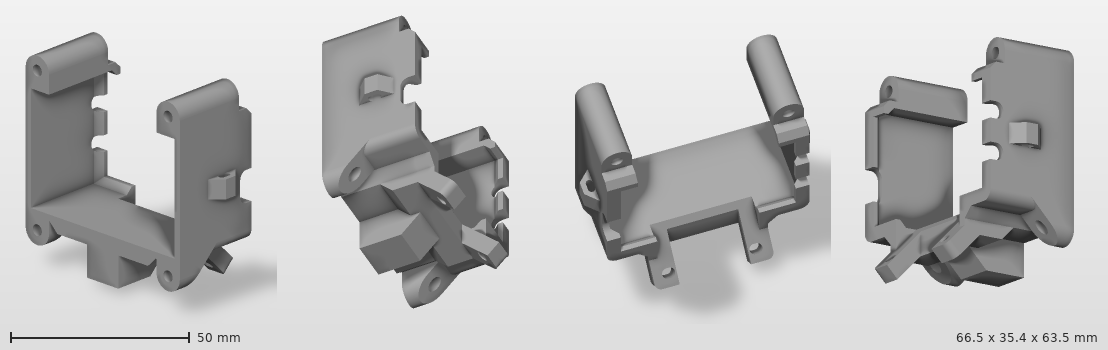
import cadquery as cq
import math


inner_width = 55.5
inner_height = 36.0
wall = 2.0
depth = 29.0
half_inner = inner_width / 2
half_outer = half_inner + wall
corner_radius = 3.0
rear_chamfer = 2.0

lug_radius = 4.5
lug_hole_diameter = 3.5
lug_center_offset = 6.0
upper_lug_depth = 24.0
lug_x = half_outer - lug_radius
lug_inner_x = half_outer - 2 * lug_radius
upper_lug_z = inner_height + lug_center_offset
lower_lug_z = -lug_center_offset
lower_lug_depth = 14.0

lip_width = 2.0
lip_thickness = 1.5
lip_gap_half_width = 15.0

pad_half_width = 17.5
pad_bottom = -5.0
step_bottom = -9.0
step_front_y = 12.0

tab_inner_x = 10.5
tab_top_sum = 22.0
tab_bottom_sum = 14.78
window_y = tab_bottom_sum - step_bottom
tab_tip_y = 35.36
tab_tip_radius = 2.0
tab_slot_length = 3.75
tab_slot_width = 3.0
tab_slot_x = 12.85
tab_slot_tip_distance = 4.0

foot_half_width = 6.0
foot_bottom = -15.0
foot_bottom_depth = 13.0

ear_reach = 3.5
ear_tip_length = 4.0
ear_height = 6.0
ear_y = 17.0
ear_z = 18.0
ear_slot_width = 2.0
ear_slot_length = 4.0
ear_slot_offset = ear_slot_width / 2

notch_bottom_y = 24.5
notch_radius = 2.5
small_notch_height = 2 * notch_radius
large_notch_height = 10.0
lower_notch_z = 12.0
upper_notch_z = 24.0
large_notch_z = 14.5


def box(x0, x1, y0, y1, z0, z1):
    """Axis-aligned box between two opposite corners."""
    return cq.Workplane("XY").box(x1 - x0, y1 - y0, z1 - z0, centered=False).translate((x0, y0, z0))


def extrude_along_x(points, x0, x1):
    """Prism of a (Y, Z) outline between two X positions."""
    return cq.Workplane("YZ").polyline(points).close().extrude(x1 - x0).translate((x0, 0, 0))


def both_sides(shape):
    """The shape joined with its mirror image about X = 0."""
    return shape.union(shape.mirror("YZ"))


def make_cavity():
    """Space enclosed by the floor, the side walls and the top returns."""
    return box(-half_inner, half_inner, 0, depth, 0, inner_height)


def make_shell():
    """U-shaped wall with short inward returns at the top and rounded lower corners."""
    top = inner_height + wall
    outer = box(-half_outer, half_outer, 0, depth, -wall, top)
    outer = outer.edges("|Y and <Z").fillet(corner_radius)
    outer = outer.edges(">Y and >Z").chamfer(rear_chamfer)
    top_gap = box(-lug_inner_x, lug_inner_x, 0, depth, inner_height, top)
    return outer.cut(make_cavity()).cut(top_gap)


def make_lip():
    """Rear lip with a 45 degree front face, open at the top and in the middle of the floor."""
    lip_front = depth - lip_thickness
    middle_z = inner_height / 2
    lip = box(-half_inner, half_inner, lip_front - lip_width, depth, 0, inner_height)
    opening = (
        cq.Workplane("XZ", origin=(0, lip_front, middle_z))
        .rect(inner_width - 2 * lip_width, inner_height - 2 * lip_width)
        .workplane(offset=lip_width)
        .rect(inner_width, inner_height)
        .loft(ruled=True)
    )
    through = box(
        lip_width - half_inner, half_inner - lip_width, lip_front, depth, lip_width, inner_height - lip_width
    )
    floor_gap = box(-lip_gap_half_width, lip_gap_half_width, 0, depth, 0, middle_z)
    top_gap = box(-lug_inner_x, lug_inner_x, 0, depth, middle_z, inner_height)
    return lip.cut(opening).cut(through).cut(floor_gap).cut(top_gap)


def make_lug(center_z, inner_z, lug_depth):
    """Round-ended lug on the +X side, reaching from its axis to inner_z."""
    barrel = cq.Workplane("XZ", origin=(lug_x, 0, center_z)).circle(lug_radius).extrude(-lug_depth)
    low_z, high_z = sorted((center_z, inner_z))
    return barrel.union(box(lug_inner_x, half_outer, 0, lug_depth, low_z, high_z))


def make_lugs():
    """All four lugs; the lower pair is cut away behind a 45 degree plane."""
    upper = make_lug(upper_lug_z, inner_height, upper_lug_depth)
    highest = corner_radius - wall
    lowest = lower_lug_z - lug_radius
    keep = extrude_along_x(
        [(0, highest), (lower_lug_depth + highest, highest), (lower_lug_depth + lowest, lowest), (0, lowest)],
        lug_inner_x, half_outer,
    )
    lower = make_lug(lower_lug_z, highest, depth).cut(make_cavity())
    return both_sides(upper.union(lower.intersect(keep)))


def make_lug_holes():
    """Screw holes along Y through all four lugs."""
    centers = [(x, z) for x in (-lug_x, lug_x) for z in (lower_lug_z, upper_lug_z)]
    return cq.Workplane("XZ").pushPoints(centers).circle(lug_hole_diameter / 2).extrude(-depth)


def make_pad():
    """Tapered thickening under the floor with a deeper rear step."""
    taper = -wall - pad_bottom
    slab = (
        cq.Workplane("XZ")
        .polyline([
            (-pad_half_width - taper, -wall),
            (pad_half_width + taper, -wall),
            (pad_half_width, pad_bottom),
            (-pad_half_width, pad_bottom),
        ])
        .close()
        .extrude(-depth)
    )
    step_height = pad_bottom - step_bottom
    step = extrude_along_x(
        [
            (step_front_y, pad_bottom),
            (step_front_y + step_height, step_bottom),
            (window_y, step_bottom),
            (depth, tab_bottom_sum - depth),
            (depth, pad_bottom),
        ],
        -pad_half_width, pad_half_width,
    )
    return slab.union(step)


def make_foot():
    """Central foot under the pad with a 45 degree rear face."""
    rear_run = pad_bottom - foot_bottom
    return extrude_along_x(
        [(0, pad_bottom), (0, foot_bottom), (foot_bottom_depth, foot_bottom),
         (foot_bottom_depth + rear_run, pad_bottom)],
        -foot_half_width, foot_half_width,
    )


def make_tab():
    """Inclined tab on the +X side with one rounded tip corner."""
    tip_z = tab_top_sum - tab_tip_y
    drop = (tab_top_sum - tab_bottom_sum) / 2
    tab = extrude_along_x(
        [
            (window_y, tab_top_sum - window_y),
            (tab_tip_y, tip_z),
            (tab_tip_y - drop, tip_z - drop),
            (window_y, tab_bottom_sum - window_y),
        ],
        tab_inner_x, pad_half_width,
    )
    tip_middle = (pad_half_width, tab_tip_y - drop / 2, tip_z - drop / 2)
    return tab.edges(cq.selectors.NearestToPointSelector(tip_middle)).fillet(tab_tip_radius)


def make_rear_opening():
    """Volume removed above the inclined face and between the tabs."""
    above_incline = extrude_along_x(
        [(tab_top_sum, 0), (depth, 0), (depth, tab_top_sum - depth)],
        -lip_gap_half_width, lip_gap_half_width,
    )
    window = box(-tab_inner_x, tab_inner_x, window_y, depth, foot_bottom, 0)
    return above_incline.union(window)


def make_tab_slot():
    """Slot through the +X tab, square to its inclined faces."""
    slot_y = tab_tip_y - tab_slot_tip_distance / math.sqrt(2)
    thickness = (tab_top_sum - tab_bottom_sum) / math.sqrt(2)
    plane = cq.Plane(
        origin=(tab_slot_x, slot_y, tab_top_sum - slot_y), xDir=(1, 0, 0), normal=(0, 1, 1)
    )
    return cq.Workplane(plane).slot2D(tab_slot_length, tab_slot_width).extrude(2 * thickness, both=True)


def make_ear():
    """Trapezoidal strap ear on the +X wall with a vertical slot."""
    half_tip = ear_tip_length / 2
    half_base = half_tip + ear_reach
    ear = (
        cq.Workplane("XY", origin=(half_outer, ear_y, ear_z - ear_height / 2))
        .polyline([(0, -half_base), (ear_reach, -half_tip), (ear_reach, half_tip), (0, half_base)])
        .close()
        .extrude(ear_height)
    )
    slot = (
        cq.Workplane("XY", origin=(half_outer + ear_slot_offset, ear_y, ear_z))
        .slot2D(ear_slot_length, ear_slot_width, 90)
        .extrude(ear_height, both=True)
    )
    return ear, slot


def make_notch(side, center_z, height):
    """Rounded notch from the rear edge through one side wall (side is -1 or +1)."""
    arc_y = notch_bottom_y + notch_radius
    low_z = center_z - height / 2
    high_z = center_z + height / 2
    low_arc_z = low_z + notch_radius
    high_arc_z = high_z - notch_radius
    x_start = half_inner - lip_width
    notch = box(x_start, half_outer, arc_y, depth, low_z, high_z)
    for arc_z in (low_arc_z, high_arc_z):
        rounding = cq.Workplane("YZ", origin=(x_start, arc_y, arc_z)).circle(notch_radius)
        notch = notch.union(rounding.extrude(half_outer - x_start))
    if high_arc_z > low_arc_z:
        notch = notch.union(box(x_start, half_outer, notch_bottom_y, arc_y, low_arc_z, high_arc_z))
    return notch if side > 0 else notch.mirror("YZ")


ear, ear_slot = make_ear()

result = make_shell().union(make_lip()).union(make_lugs())
result = result.union(make_pad()).union(make_foot())
result = result.cut(make_rear_opening())
result = result.union(both_sides(make_tab())).cut(both_sides(make_tab_slot()))
result = result.union(both_sides(ear)).cut(both_sides(ear_slot))

result = result.cut(make_lug_holes())

result = result.cut(make_notch(-1, lower_notch_z, small_notch_height))
result = result.cut(make_notch(-1, upper_notch_z, small_notch_height))
result = result.cut(make_notch(1, large_notch_z, large_notch_height))